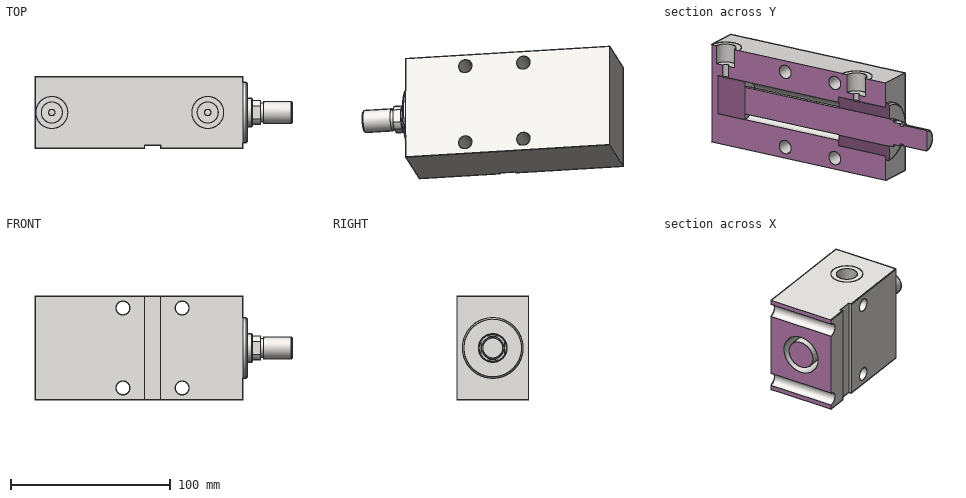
import cadquery as cq


HOUSING_LENGTH = 130.0
HOUSING_WIDTH = 45.0
HOUSING_HEIGHT = 65.0
EDGE_CHAMFER = 0.3

KEYWAY_WIDTH = 10.0
KEYWAY_DEPTH = 2.0

BOLT_HOLE_DIAMETER = 8.5
BOLT_HOLE_XS = (55.0, 92.0)
BOLT_HOLE_Z_SPACING = 50.0

PORT_XS = (10.5, 108.0)
PORT_DIAMETER = 13.2
PORT_DEPTH = 12.0
SPOTFACE_DIAMETER = 20.0
SPOTFACE_DEPTH = 0.1
FEED_HOLE_DIAMETER = 4.0

PISTON_DIAMETER = 25.0
PISTON_LENGTH = 20.0
BORE_FLOOR_X = 5.0

FLANGE_DIAMETER = 38.0
FLANGE_THICKNESS = 3.0
FLANGE_CHAMFER = 1.0
SPIGOT_DIAMETER = 32.0
SPIGOT_LENGTH = 35.0

ROD_DIAMETER = 18.0
ROD_SHOULDER_X = 136.0
WRENCH_DIAMETER = 17.0
WRENCH_ACROSS_FLATS = 15.0
WRENCH_LENGTH = 5.0
NECK_DIAMETER = 12.0
NECK_LENGTH = 2.0
NECK_FILLET = 0.4
THREAD_DIAMETER = 14.0
THREAD_LENGTH = 18.0
THREAD_CHAMFER = 0.8

KEYWAY_CENTER_X = sum(BOLT_HOLE_XS) / 2
TOP_Z = HOUSING_HEIGHT / 2
FRONT_Y = -HOUSING_WIDTH / 2
SPIGOT_START_X = HOUSING_LENGTH - SPIGOT_LENGTH
FLANGE_END_X = HOUSING_LENGTH + FLANGE_THICKNESS
PISTON_END_X = BORE_FLOOR_X + PISTON_LENGTH
NECK_START_X = ROD_SHOULDER_X + WRENCH_LENGTH
THREAD_START_X = NECK_START_X + NECK_LENGTH
THREAD_END_X = THREAD_START_X + THREAD_LENGTH


def axial_cylinder(diameter, start_x, end_x):
    """Cylinder on the piston axis between two X positions."""
    return cq.Workplane("YZ", origin=(start_x, 0, 0)).circle(diameter / 2).extrude(end_x - start_x)


def port_cylinder(port_x, diameter, bottom_z):
    """Vertical cylinder from the top face of the housing down to bottom_z."""
    return cq.Workplane("XY", origin=(port_x, 0, bottom_z)).circle(diameter / 2).extrude(TOP_Z - bottom_z)


def make_keyway():
    """Cross slot in the mounting face, midway between the bolt holes, over the full height."""
    return (
        cq.Workplane("XY", origin=(KEYWAY_CENTER_X, FRONT_Y, 0))
        .box(KEYWAY_WIDTH, KEYWAY_DEPTH, HOUSING_HEIGHT, centered=(True, False, True))
    )


def make_bolt_holes():
    """Four mounting holes through the width of the housing."""
    half_spacing = BOLT_HOLE_Z_SPACING / 2
    centers = [(x, z) for x in BOLT_HOLE_XS for z in (-half_spacing, half_spacing)]
    return (
        cq.Workplane("XZ", origin=(0, HOUSING_WIDTH / 2, 0))
        .pushPoints(centers)
        .circle(BOLT_HOLE_DIAMETER / 2)
        .extrude(HOUSING_WIDTH)
    )


def make_housing():
    """Chamfered block with the stepped bore, the ports, the keyway and the bolt holes."""
    housing = (
        cq.Workplane("XY")
        .box(HOUSING_LENGTH, HOUSING_WIDTH, HOUSING_HEIGHT, centered=(False, True, True))
        .edges("|X")
        .chamfer(EDGE_CHAMFER)
    )
    housing = housing.cut(make_keyway()).cut(make_bolt_holes())
    for port_x in PORT_XS:
        housing = housing.cut(port_cylinder(port_x, SPOTFACE_DIAMETER, TOP_Z - SPOTFACE_DEPTH))
        housing = housing.cut(port_cylinder(port_x, PORT_DIAMETER, TOP_Z - PORT_DEPTH))
        housing = housing.cut(port_cylinder(port_x, FEED_HOLE_DIAMETER, 0))
    housing = housing.cut(axial_cylinder(PISTON_DIAMETER, BORE_FLOOR_X, SPIGOT_START_X))
    return housing.cut(axial_cylinder(SPIGOT_DIAMETER, SPIGOT_START_X, HOUSING_LENGTH))


def make_piston():
    """Plain disc resting on the bore floor."""
    return axial_cylinder(PISTON_DIAMETER, BORE_FLOOR_X, PISTON_END_X)


def make_gland():
    """Flanged bush that guides the rod."""
    flange = axial_cylinder(FLANGE_DIAMETER, HOUSING_LENGTH, FLANGE_END_X)
    flange = flange.faces(">X").edges().chamfer(FLANGE_CHAMFER)
    spigot = axial_cylinder(SPIGOT_DIAMETER, SPIGOT_START_X, HOUSING_LENGTH)
    rod_hole = axial_cylinder(ROD_DIAMETER, SPIGOT_START_X, FLANGE_END_X)
    return flange.union(spigot).cut(rod_hole)


def make_wrench_section():
    """Short round section with four flats."""
    flats = cq.Workplane("YZ", origin=(ROD_SHOULDER_X, 0, 0))
    flats = flats.rect(WRENCH_ACROSS_FLATS, WRENCH_ACROSS_FLATS).extrude(WRENCH_LENGTH)
    return axial_cylinder(WRENCH_DIAMETER, ROD_SHOULDER_X, NECK_START_X).intersect(flats)


def make_neck():
    """Thread undercut with a fillet at each end."""
    neck_radius = NECK_DIAMETER / 2
    fillet_offset = NECK_FILLET * (1 - 0.5**0.5)
    return (
        cq.Workplane("XY")
        .moveTo(NECK_START_X, 0)
        .lineTo(NECK_START_X, neck_radius + NECK_FILLET)
        .threePointArc(
            (NECK_START_X + fillet_offset, neck_radius + fillet_offset),
            (NECK_START_X + NECK_FILLET, neck_radius),
        )
        .lineTo(THREAD_START_X - NECK_FILLET, neck_radius)
        .threePointArc(
            (THREAD_START_X - fillet_offset, neck_radius + fillet_offset),
            (THREAD_START_X, neck_radius + NECK_FILLET),
        )
        .lineTo(THREAD_START_X, 0)
        .close()
        .revolve(360, (0, 0, 0), (1, 0, 0))
    )


def make_rod():
    """Rod with a chamfered shoulder, wrench flats, undercut and threaded end."""
    shaft = axial_cylinder(ROD_DIAMETER, PISTON_END_X, ROD_SHOULDER_X)
    shaft = shaft.faces(">X").edges().chamfer((ROD_DIAMETER - WRENCH_DIAMETER) / 2)
    thread = axial_cylinder(THREAD_DIAMETER, THREAD_START_X, THREAD_END_X)
    thread = thread.faces(">X").edges().chamfer(THREAD_CHAMFER)
    return shaft.union(make_wrench_section()).union(make_neck()).union(thread)


housing = make_housing()
piston = make_piston()
gland = make_gland()
rod = make_rod()

result = cq.Compound.makeCompound([housing.val(), piston.val(), gland.val(), rod.val()])